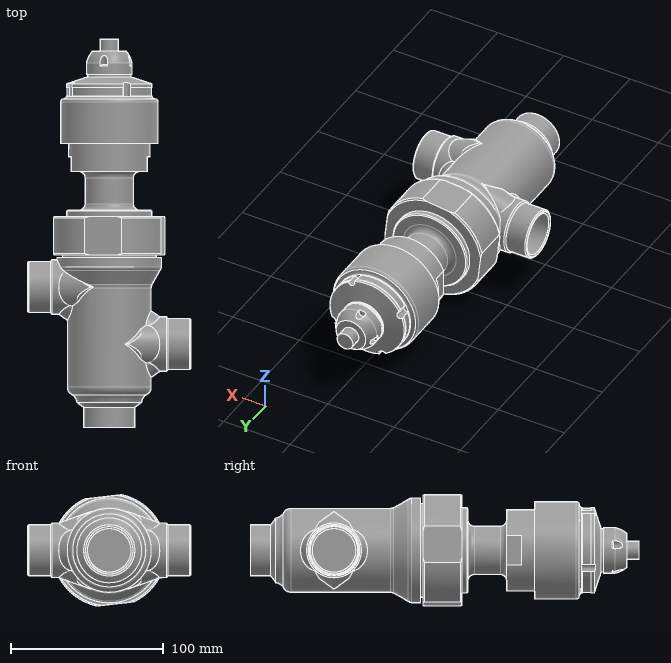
import cadquery as cq
import math

total_length = 254.6

pipe_radius = 33.5 / 2
pipe_mouth_radius = 31.0 / 2
pipe_bore_radius = 28.5 / 2
pipe_bevel = 0.5
bore_depth = 15.3
end_pipe_length = 13.2
step_radius = 42.5 / 2
step_start = 16.5
step_hollow = 0.5
body_radius = 55.0 / 2
body_end_round_radius = 24.0
body_end_round_start = 21.5
body_end_round_stop = 26.5
body_end_round_bulge = 1.0
body_end = 91.7
collar_cone_start = 93.7
collar_cone_start_radius = 28.0
collar_cone_end = 103.1
collar_cone_end_radius = 33.4
collar_start = 105.5
collar_radius = 68.8 / 2
cone_bulge = 0.13
collar_end = 111.5
groove_radius = 61.5 / 2

nut_start = 113.0
nut_end = 138.5
nut_radius = 37.5
nut_flat_distance = 35.5
nut_flat_tilt = 6.5
nut_edge_chamfer = 1.0

ring_radius = 56.0 / 2
ring_end = 142.5
ring_chamfer = 0.8
neck_radius = 31.8 / 2
neck_fillet = 4.0
lower_housing_start = 167.8
lower_housing_radius = 53.5 / 2
housing_start = 186.1
housing_end = 215.5
housing_round = 2.0
housing_bulge = 0.3
housing_radius = 64.0 / 2
cap_start = 217.0
cap_foot_bulge = 0.5
cap_end = 225.4
cap_groove_start = 217.5
cap_groove_end = 223.0
cap_groove_radius = 27.8
cap_cone_end = 229.7
gland_radius = 30.0 / 2
gland_neck_radius = 28.5 / 2
gland_start = 231.5
gland_straight_end = 238.9
gland_end = 246.8
gland_end_radius = 11.2
gland_bulge = 0.5
stem_radius = 12.0 / 2

wrench_flat_distance = 25.0
wrench_flat_end = 177.5

notch_radius = 2.5
cap_notch_angle = 65.3
cap_notch_floor = 217.0
cap_notch_length = 11.0
gland_pocket_distance = 14.0
gland_pocket_angle = 104.3
gland_pocket_floor = 237.3
gland_pocket_length = 10.2
gland_pocket_lean = 15.0

port_reach = 107.0 / 2
left_port_y = 92.2
right_port_y = 54.7
port_collar_radius = 36.0 / 2
port_collar_end = 38.5
port_collar_chamfer = 1.0
port_edge_chamfer = 0.8
diamond_half_width = 35.1
diamond_half_height = 25.5
ridge_start = 33.0
ridge_radius = 14.3
pad_inner_x = 11.5
pad_inner_height = 25.7
flare_inner_height = 22.0


def along_y(radius, start, end):
    """Cylinder on the valve axis."""
    return cq.Workplane("XZ", origin=(0, start, 0)).circle(radius).extrude(start - end)


def around(tool, count=4):
    """Union of copies of a tool spaced evenly about the valve axis."""
    copies = tool
    for i in range(1, count):
        copies = copies.union(tool.rotate((0, 0, 0), (0, 1, 0), 360 * i / count))
    return copies


def arc_middle(start, end, bulge):
    """Point beside the middle of a chord, offset to the right of its direction."""
    dx, dy = end[0] - start[0], end[1] - start[1]
    length = math.hypot(dx, dy)
    return (
        (start[0] + end[0]) / 2 + bulge * dy / length,
        (start[1] + end[1]) / 2 - bulge * dx / length,
    )


def turned_body():
    """Everything that is round about the valve axis, except the nut."""
    body_round_start = (body_end_round_radius, body_end_round_start)
    body_round_end = (body_radius, body_end_round_stop)
    hollow_start = (step_radius, step_start)
    cone_start = (collar_cone_start_radius, collar_cone_start)
    cone_end = (collar_cone_end_radius, collar_cone_end)
    shoulder_start = (housing_radius, housing_end - housing_round)
    shoulder_end = (housing_radius - housing_round / 2, housing_end)
    cap_foot = (ring_radius, cap_start)
    gland_arc_start = (gland_radius, gland_straight_end)
    gland_arc_end = (gland_end_radius, gland_end)
    fillet_mid = neck_fillet * (1 - math.sqrt(0.5))
    profile = (
        cq.Workplane("XY")
        .lineTo(pipe_radius, 0)
        .lineTo(pipe_radius, end_pipe_length)
        .lineTo(*hollow_start)
        .threePointArc(arc_middle(hollow_start, body_round_start, -step_hollow), body_round_start)
        .threePointArc(arc_middle(body_round_start, body_round_end, body_end_round_bulge), body_round_end)
        .lineTo(body_radius, body_end)
        .threePointArc(arc_middle((body_radius, body_end), cone_start, -cone_bulge), cone_start)
        .lineTo(*cone_end)
        .threePointArc(
            arc_middle(cone_end, (collar_radius, collar_start), cone_bulge),
            (collar_radius, collar_start),
        )
        .lineTo(collar_radius, collar_end)
        .lineTo(groove_radius, collar_end)
        .lineTo(groove_radius, nut_end)
        .lineTo(ring_radius, nut_end)
        .lineTo(ring_radius, ring_end - ring_chamfer)
        .lineTo(ring_radius - ring_chamfer, ring_end)
        .lineTo(neck_radius + neck_fillet, ring_end)
        .threePointArc(
            (neck_radius + fillet_mid, ring_end + fillet_mid),
            (neck_radius, ring_end + neck_fillet),
        )
        .lineTo(neck_radius, lower_housing_start - neck_fillet)
        .threePointArc(
            (neck_radius + fillet_mid, lower_housing_start - fillet_mid),
            (neck_radius + neck_fillet, lower_housing_start),
        )
        .lineTo(lower_housing_radius, lower_housing_start)
        .lineTo(lower_housing_radius, housing_start)
        .lineTo(housing_radius, housing_start)
        .lineTo(*shoulder_start)
        .threePointArc(arc_middle(shoulder_start, shoulder_end, housing_bulge), shoulder_end)
        .threePointArc(arc_middle(shoulder_end, cap_foot, -cap_foot_bulge), cap_foot)
        .lineTo(ring_radius, cap_groove_start)
        .lineTo(cap_groove_radius, cap_groove_start)
        .lineTo(cap_groove_radius, cap_groove_end)
        .lineTo(ring_radius, cap_groove_end)
        .lineTo(ring_radius, cap_end)
        .lineTo(gland_radius, cap_cone_end)
        .lineTo(gland_neck_radius, cap_cone_end)
        .lineTo(gland_neck_radius, gland_start)
        .lineTo(gland_radius, gland_start)
        .lineTo(*gland_arc_start)
        .threePointArc(arc_middle(gland_arc_start, gland_arc_end, gland_bulge), gland_arc_end)
        .lineTo(stem_radius, gland_end)
        .lineTo(stem_radius, total_length)
        .lineTo(0, total_length)
        .close()
    )
    return profile.revolve(360, (0, 0, 0), (0, 1, 0))


def union_nut():
    """Chamfered ring cut to two pairs of opposite flats, tilted about the valve axis."""
    ring = along_y(nut_radius, nut_start, nut_end).edges().chamfer(nut_edge_chamfer)
    length = nut_end - nut_start
    prism = (
        cq.Workplane("XY")
        .box(2 * nut_flat_distance, length, 2 * nut_flat_distance)
        .rotate((0, 0, 0), (0, 1, 0), -nut_flat_tilt)
        .translate((0, nut_start + length / 2, 0))
    )
    return ring.intersect(prism)


def wrench_flat_cut():
    """Cuts a flat on both X sides of the lower housing."""
    depth = housing_radius - wrench_flat_distance
    length = wrench_flat_end - lower_housing_start
    slab = cq.Workplane("XY").box(depth, length, 2 * lower_housing_radius).translate(
        (wrench_flat_distance + depth / 2, lower_housing_start + length / 2, 0)
    )
    return around(slab, 2)


def notch_ring(distance, angle, start, length, lean=0):
    """Four round grooves whose far ends lean outward from the valve axis."""
    groove = (
        along_y(notch_radius, 0, length)
        .rotate((0, 0, 0), (0, 0, 1), -lean)
        .translate((distance, start, 0))
        .rotate((0, 0, 0), (0, 1, 0), -angle)
    )
    return around(groove)


def along_port(radius, end):
    """Cylinder on the X axis, from the valve axis outward."""
    return cq.Workplane("YZ").circle(radius).extrude(end)


def port_ridge(inner_x, inner_height):
    """Round bar on the +Z side, rising from the port collar toward the valve axis."""
    slope = math.atan2(inner_height - port_collar_radius, ridge_start - inner_x)
    height_at_axis = inner_height + inner_x * math.tan(slope)
    centre_drop = ridge_radius / math.cos(slope)
    return (
        along_port(ridge_radius, ridge_start / math.cos(slope))
        .rotate((0, 0, 0), (0, 1, 0), math.degrees(slope))
        .translate((0, 0, height_at_axis - centre_drop))
    )


def port():
    """Side port toward +X with its axis on the X axis."""
    pipe = along_port(pipe_radius, port_reach).faces(">X").chamfer(port_edge_chamfer)
    collar = along_port(port_collar_radius, port_collar_end).faces(">X").chamfer(port_collar_chamfer)
    pad = port_ridge(pad_inner_x, pad_inner_height)
    flare = port_ridge(body_radius, flare_inner_height).rotate((0, 0, 0), (1, 0, 0), 90)
    diamond = (
        cq.Workplane("YZ")
        .moveTo(diamond_half_width, 0)
        .lineTo(0, diamond_half_height)
        .lineTo(-diamond_half_width, 0)
        .lineTo(0, -diamond_half_height)
        .close()
        .extrude(port_reach)
    )
    root = pad.union(pad.mirror("XY")).union(flare).union(flare.mirror("XZ")).intersect(diamond)
    return pipe.union(collar).union(root)


def pipe_bore():
    """Bore with a bevelled mouth, opening at Y = 0 toward -Y."""
    bevel = cq.Solid.makeCone(
        pipe_mouth_radius, pipe_bore_radius, pipe_bevel, cq.Vector(0, 0, 0), cq.Vector(0, 1, 0)
    )
    return along_y(pipe_bore_radius, 0, bore_depth).union(cq.Workplane(obj=bevel))


right_port = port().translate((0, right_port_y, 0))
left_port = port().mirror("YZ").translate((0, left_port_y, 0))
below_nut = (
    cq.Workplane("XY")
    .box(2 * port_reach, collar_end, 2 * port_reach)
    .translate((0, collar_end / 2, 0))
)

cap_notches = notch_ring(ring_radius, cap_notch_angle, cap_notch_floor, cap_notch_length)
gland_pockets = notch_ring(
    gland_pocket_distance, gland_pocket_angle, gland_pocket_floor, gland_pocket_length, gland_pocket_lean
)

bore = pipe_bore()
right_bore = bore.rotate((0, 0, 0), (0, 0, 1), 90).translate((port_reach, right_port_y, 0))
left_bore = bore.rotate((0, 0, 0), (0, 0, 1), -90).translate((-port_reach, left_port_y, 0))

result = (
    turned_body()
    .union(union_nut())
    .union(right_port)
    .union(left_port.intersect(below_nut))
    .cut(wrench_flat_cut())
    .cut(cap_notches)
    .cut(gland_pockets)
    .cut(bore)
    .cut(right_bore)
    .cut(left_bore)
)